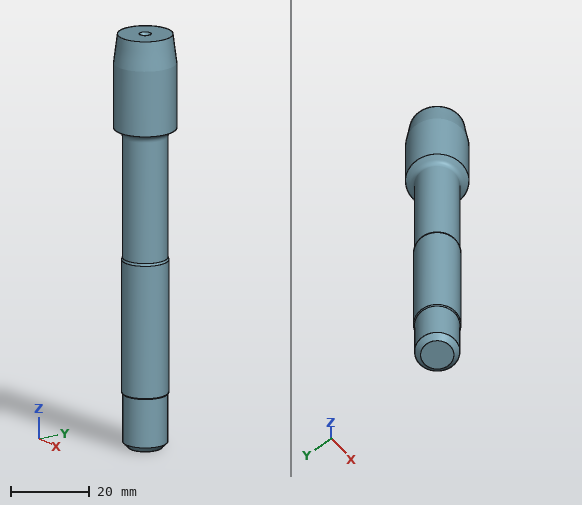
import cadquery as cq
import math

total_length = 110.0
tip_chamfer = 1.5
collar_taper_bottom = 14.4
collar_bottom = 14.7
collar_top = 49.9
collar_taper_top = 50.6
neck_start = 82.7
head_bottom = 85.0
head_taper_start = 102.3

tip_radius = 11.5 / 2
collar_radius = 12.1 / 2
shank_radius = 11.7 / 2
head_radius = 16.2 / 2
top_radius = 14.2 / 2

underside_angle = math.radians(30)
underside_slope = math.tan(underside_angle)
underside_height = head_bottom - neck_start
underside_width = head_radius - shank_radius
neck_fillet = (underside_height - underside_width * underside_slope) / (
    math.cos(underside_angle) - (1 - math.sin(underside_angle)) * underside_slope
)
fillet_end_x = shank_radius + neck_fillet * (1 - math.sin(underside_angle))
fillet_end_z = neck_start + neck_fillet * math.cos(underside_angle)
fillet_mid_angle = (math.pi / 2 - underside_angle) / 2
fillet_mid_x = shank_radius + neck_fillet * (1 - math.cos(fillet_mid_angle))
fillet_mid_z = neck_start + neck_fillet * math.sin(fillet_mid_angle)

hole_radius = 2.0 / 2
countersink_radius = 3.1 / 2
countersink_angle = math.radians(30)
hole_depth = 3.3
drill_point_angle = math.radians(60)


def turned_body():
    """Revolve the stepped half outline about Z."""
    outline = (
        cq.Workplane("XZ")
        .lineTo(tip_radius - tip_chamfer, 0)
        .lineTo(tip_radius, tip_chamfer)
        .lineTo(tip_radius, collar_taper_bottom)
        .lineTo(collar_radius, collar_bottom)
        .lineTo(collar_radius, collar_top)
        .lineTo(shank_radius, collar_taper_top)
        .lineTo(shank_radius, neck_start)
        .threePointArc((fillet_mid_x, fillet_mid_z), (fillet_end_x, fillet_end_z))
        .lineTo(head_radius, head_bottom)
        .lineTo(head_radius, head_taper_start)
        .lineTo(top_radius, total_length)
        .lineTo(0, total_length)
        .close()
    )
    return outline.revolve(360, (0, 0, 0), (0, 1, 0))


def center_hole():
    """Countersunk blind hole with a conical drill point."""
    countersink_depth = (countersink_radius - hole_radius) / math.tan(countersink_angle)
    hole_bottom = total_length - hole_depth
    drill_point = hole_bottom - hole_radius / math.tan(drill_point_angle)
    outline = (
        cq.Workplane("XZ")
        .moveTo(0, drill_point)
        .lineTo(hole_radius, hole_bottom)
        .lineTo(hole_radius, total_length - countersink_depth)
        .lineTo(countersink_radius, total_length)
        .lineTo(0, total_length)
        .close()
    )
    return outline.revolve(360, (0, 0, 0), (0, 1, 0))


result = turned_body().cut(center_hole())